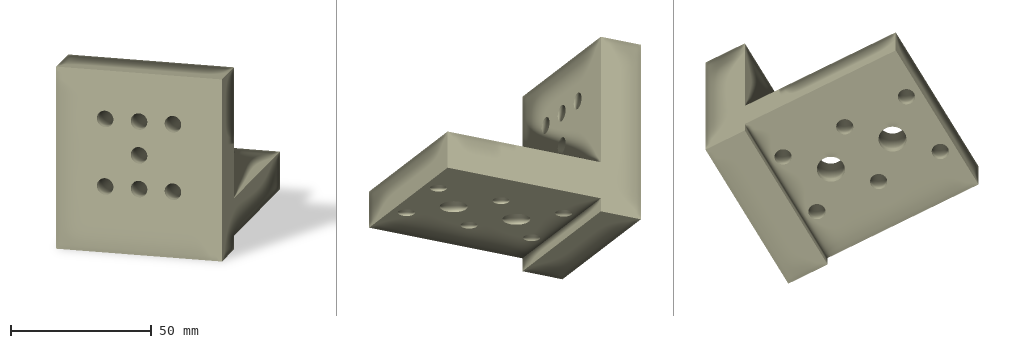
import cadquery as cq

width = 61.2
depth = 77.2
height = 67.5

plate_thickness = 16.0
shelf_bottom = 5.0
shelf_thickness = 14.0
shelf_length = depth - plate_thickness

hole_pitch = 12.5
small_diameter = 6.1
large_diameter = 9.95
plate_pattern_height = 37.0
shelf_pattern_y = plate_thickness + shelf_length / 2


def make_bracket():
    """Plate with its front face at y = 0 and its base at z = 0, centred on x = 0."""
    plate = cq.Workplane("XY").box(width, plate_thickness, height, centered=(True, False, False))
    shelf = (
        cq.Workplane("XY")
        .box(width, shelf_length, shelf_thickness, centered=(True, False, False))
        .translate((0, plate_thickness, shelf_bottom))
    )
    return plate.union(shelf)


def plate_holes():
    """Three holes in the upper and lower rows, with one at the centre."""
    row_offsets = (-hole_pitch, 0, hole_pitch)
    points = [(x, z) for x in row_offsets for z in (-hole_pitch, hole_pitch)]
    points.append((0, 0))
    return (
        cq.Workplane("XZ", origin=(0, 0, plate_pattern_height))
        .pushPoints(points)
        .circle(small_diameter / 2)
        .extrude(-plate_thickness)
    )


def shelf_holes(points, diameter):
    """Vertical holes through the shelf, placed about its centre."""
    return (
        cq.Workplane("XY", origin=(0, shelf_pattern_y, shelf_bottom))
        .pushPoints(points)
        .circle(diameter / 2)
        .extrude(shelf_thickness)
    )


small_points = [(x, y) for x in (-hole_pitch, hole_pitch) for y in (-2 * hole_pitch, 0, 2 * hole_pitch)]
large_points = [(0, -hole_pitch), (0, hole_pitch)]

result = (
    make_bracket()
    .cut(plate_holes())
    .cut(shelf_holes(small_points, small_diameter))
    .cut(shelf_holes(large_points, large_diameter))
)